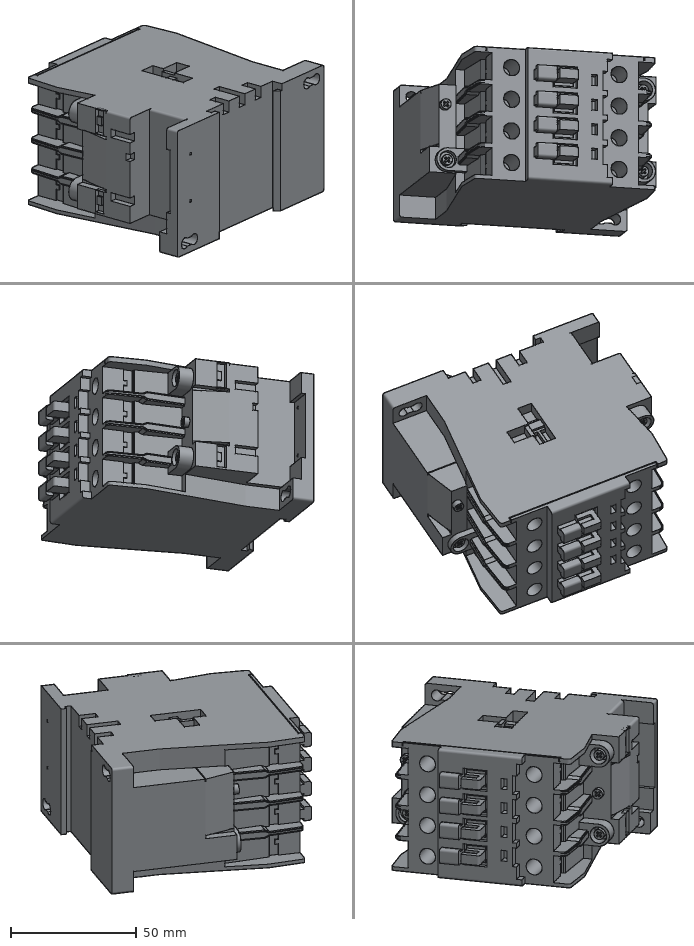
import cadquery as cq


depth = 93.8
half_width = 47.2
half_height = 27.0

panel_front = 5.9
body_front = 10.0
apex_x = 25.7
upper_block_front = 41.7
lower_block_front = 43.1
lower_block_back = 69.9
foot_front = 84.9
foot_step = 88.5
foot_recess = 90.2
rail_floor = 89.1
rail_lip = 91.6

front_half_width = 37.4
apex_half_width = 38.4
waist_half_width = 32.2
upper_waist_x = 69.3
lower_waist_x = 70.6
front_corner_round = 1.2

split_z = 18.0
edge_round = 1.0

pole_pitch = 12.9
pole_centre_z = -0.24
terminal_zs = [pole_centre_z + (i - 1.5) * pole_pitch for i in range(4)]
divider_zs = [pole_centre_z + (i - 1) * pole_pitch for i in range(3)]
terminal_y = 22.3
terminal_radius = 3.3
terminal_depth = 14.2
nose_half_width = 30.4
wall_half_width = 32.4
chamber_top = 24.8
chamber_bottom = -25.4


def box(x0, x1, y0, y1, z0, z1):
    return cq.Workplane("XY").box(x1 - x0, y1 - y0, z1 - z0, centered=False).translate((x0, y0, z0))


def rod(x0, x1, y, z, radius):
    return cq.Workplane("YZ", origin=(x0, y, z)).circle(radius).extrude(x1 - x0)


def mirrored_box(side, x0, x1, y0, y1, z0, z1):
    """Box at y0..y1 from the centre plane, on the side given by +1 or -1."""
    low, high = sorted((side * y0, side * y1))
    return box(x0, x1, low, high, z0, z1)


def prism(points, z0=-half_height, z1=half_height):
    return cq.Workplane("XY", origin=(0, 0, z0)).polyline(points).close().extrude(z1 - z0)


def outline_prism(upper, lower, corner_round):
    """Prism from the +Y outline to the mirrored lower outline, with rounded front corners."""
    points = upper + [(x, -y) for x, y in reversed(lower)]
    return prism(points).edges("|Z and <X").fillet(corner_round)


def main_body():
    front = [(body_front, front_half_width), (apex_x, apex_half_width)]
    back = (foot_front, waist_half_width)
    upper = front + [(upper_waist_x, waist_half_width), back]
    lower = front + [(lower_waist_x, waist_half_width), back]
    return outline_prism(upper, lower, front_corner_round)


fin_setback = 1.4
fin_back_half_width = 36.0
fin_shoulder = 0.6
fin_rim_inset = 0.52
fin_thin_half = 0.9
fin_thick_half = 1.8
fin_taper_start = 24.8
fin_taper_end = 26.6
fin_corner_round = 1.9


def fin_blank(shoulder, inset):
    """Fin that widens towards the back, pulled in by shoulder and thinned by inset on each face."""
    side = [
        (body_front, fin_thin_half - inset),
        (fin_taper_start, fin_thin_half - inset),
        (fin_taper_end, fin_thick_half - inset),
        (lower_block_front, fin_thick_half - inset),
    ]
    points = side + [(x, -z) for x, z in reversed(side)]
    blank = cq.Workplane("XZ", origin=(0, half_width, 0)).polyline(points).close().extrude(2 * half_width)
    outline = [
        (body_front, front_half_width - fin_setback - shoulder),
        (apex_x, apex_half_width - fin_setback - shoulder),
        (lower_block_front, fin_back_half_width - shoulder),
    ]
    return blank.intersect(outline_prism(outline, outline, fin_corner_round))


def divider_fins():
    fin = fin_blank(fin_shoulder, 0).union(fin_blank(0, fin_rim_inset))
    fins = fin.translate((0, 0, divider_zs[0]))
    for z in divider_zs[1:]:
        fins = fins.union(fin.translate((0, 0, z)))
    return fins


gap_front = 19.0
gap_back = 22.8
gap_half_width = 29.6
gap_tab_length = 1.5
gap_tab_width = 2.0
rear_wall_front = 23.2
rear_wall_half_width = 31.15


def terminal_chambers(side):
    """Space outside the chamber walls, on the +Y (1) or -Y (-1) side."""
    wall = [
        (body_front, nose_half_width),
        (gap_front, nose_half_width),
        (gap_front, gap_half_width),
        (gap_back, gap_half_width),
        (gap_back, nose_half_width),
        (rear_wall_front, nose_half_width),
        (rear_wall_front, rear_wall_half_width),
        (lower_block_front, wall_half_width),
        (lower_block_front, half_width),
        (body_front, half_width),
    ]
    space = prism([(x, side * y) for x, y in wall], chamber_bottom, chamber_top)
    for z in terminal_zs:
        space = space.cut(
            mirrored_box(
                side, gap_front, gap_front + gap_tab_length, gap_half_width, nose_half_width,
                z - gap_tab_width / 2, z + gap_tab_width / 2,
            )
        )
    return space


def ramp(side, front, back, inner_y, z0, z1):
    """Wedge behind a panel that leans from inner_y at the front out to the side face."""
    points = [(front, side * inner_y), (back, side * half_width), (back, side * inner_y)]
    return prism(points, z0, z1)


upper_block_root = 36.2
upper_ramp_back = 54.7
upper_ramp_y = 43.2
upper_ramp_bottom = -6.2
upper_frame_bottom = -7.55
upper_seam_width = 0.4
upper_seam_depth = 0.9


def upper_block():
    block = box(lower_block_front, foot_front, 0, half_width, -split_z, split_z)
    block = block.union(
        box(upper_block_front, lower_block_front, upper_block_root, half_width, -split_z, split_z)
    )
    block = block.cut(
        box(upper_block_front, upper_ramp_back, upper_ramp_y, half_width, upper_frame_bottom, split_z)
    )
    block = block.union(
        ramp(1, upper_block_front, upper_ramp_back, upper_ramp_y, upper_ramp_bottom, split_z)
    )
    return block.cut(
        box(
            upper_ramp_back, upper_ramp_back + upper_seam_width, 0, half_width,
            split_z - upper_seam_depth, split_z,
        )
    )


lower_ramp_back = 57.7
lower_ramp_y = 43.9
lower_ramp_top = 14.8
lower_ramp_bottom = -6.5
lower_frame_border = 1.2
notch_wall_y = -34.8
side_slot_front = 52.4
side_slot_back = 56.4
side_slot_depth = 1.9
side_slots = [(16.3, 26.6), (-17.2, -7.9)]
clip_length = 2.3
clip_height = 3.6
vent_depth = 2.8
side_vents = [(60.2, 16.3, 19.9), (60.2, -10.8, -7.2), (67.8, 8.4, 11.3)]


def lower_block():
    block = box(lower_block_front, lower_ramp_back, -half_width, 0, -split_z, half_height)
    rear = box(lower_ramp_back, lower_block_back, -half_width, 0, -split_z, half_height)
    block = block.union(rear.edges("|X and >Z and <Y").fillet(edge_round))
    block = block.cut(
        box(
            lower_block_front, lower_ramp_back, -half_width, -lower_ramp_y,
            lower_ramp_bottom - lower_frame_border, lower_ramp_top + lower_frame_border,
        )
    )
    block = block.union(
        ramp(-1, lower_block_front, lower_ramp_back, lower_ramp_y, lower_ramp_bottom, lower_ramp_top)
    )
    for z0, z1 in side_slots:
        block = block.cut(
            box(side_slot_front, side_slot_back, -half_width, -half_width + side_slot_depth, z0, z1)
        )
        clip_z = (z0 + z1) / 2
        block = block.union(
            box(
                side_slot_front, side_slot_front + clip_length,
                -half_width + side_slot_depth / 2, -half_width + side_slot_depth,
                clip_z - clip_height / 2, clip_z + clip_height / 2,
            )
        )
    for x0, z0, z1 in side_vents:
        block = block.cut(box(x0, lower_block_back, -half_width, -half_width + vent_depth, z0, z1))
    waist = box(lower_block_front, foot_step, notch_wall_y, 0, -split_z, half_height)
    return block.union(waist.edges("|X and >Z and <Y").fillet(edge_round))


recess_bottom = -9.0
keyhole_z = 22.3
keyhole_radius = 2.3
keyhole_neck = 1.7
keyhole_ys = (36.4, 42.2)
pin_hole_y = -38.6
pin_hole_zs = (14.8, -5.3)
pin_hole_radius = 0.6


def keyhole(side):
    inner, outer = keyhole_ys
    hole = mirrored_box(
        side, foot_front, depth, inner, outer,
        side * keyhole_z - keyhole_neck, side * keyhole_z + keyhole_neck,
    )
    for y in keyhole_ys:
        hole = hole.union(rod(foot_front, depth, side * y, side * keyhole_z, keyhole_radius))
    return hole


def mounting_base():
    base = box(foot_front, depth, -half_width, half_width, -half_height, half_height)
    base = base.edges("|X").fillet(edge_round)
    base = base.cut(box(foot_front, foot_step, -half_width, notch_wall_y + edge_round, -split_z, half_height))
    base = base.cut(box(foot_step, foot_recess, -half_width, notch_wall_y, recess_bottom, split_z))
    for z in pin_hole_zs:
        base = base.cut(rod(foot_recess, depth, pin_hole_y, z, pin_hole_radius))
    for side in (1, -1):
        base = base.cut(keyhole(side))
    return base


rail_top_y = 20.1
rail_hook_y = 17.3
rail_hook_tip_y = 19.1
rail_bottom_y = -22.4
rail_lip_y = -20.2
rail_hook_drop = 2.8


def rail_channel():
    channel = prism([
        (rail_floor, rail_top_y),
        (rail_lip, rail_top_y),
        (rail_lip, rail_hook_y),
        (depth, rail_hook_tip_y),
        (depth, rail_lip_y),
        (rail_lip, rail_lip_y),
        (rail_lip, rail_bottom_y),
        (rail_floor, rail_bottom_y),
    ])
    return channel.union(
        box(rail_lip, depth, rail_hook_y, rail_top_y, half_height - rail_hook_drop, half_height)
    )


rail_grooves = [(82.3, 9.1, 12.65), (76.2, -1.2, 2.3), (82.3, -11.6, -8.0)]
rail_groove_depth = 4.7

pocket_x = (41.0, 62.0)
pocket_y = (-3.0, 3.0)
strip_x = (41.0, 46.35)
strip_top_y = 4.1
side_arm_x = (46.35, 52.8)
side_arm_top_y = 12.65
ridge_top_y = 4.8
latch_x = (49.6, 54.8)
latch_cap_x = (50.6, 54.2)
sill_end_x = 56.0
guide_x = (42.0, 49.6)
guide_half_width = 0.6
pocket_floor = half_height - 4.7
ridge_top = half_height - 0.9
latch_top = half_height - 2.8
latch_cap_top = half_height - 1.9
sill_top = half_height - 3.3


def top_pocket():
    pocket = box(*pocket_x, *pocket_y, pocket_floor, half_height)
    pocket = pocket.union(box(*strip_x, pocket_y[1], strip_top_y, pocket_floor, half_height))
    pocket = pocket.union(box(*side_arm_x, pocket_y[1], side_arm_top_y, pocket_floor, half_height))
    ridge = box(*side_arm_x, pocket_y[1], ridge_top_y, pocket_floor, ridge_top)
    latch = box(*latch_x, *pocket_y, pocket_floor, latch_top)
    latch = latch.union(box(*latch_cap_x, *pocket_y, pocket_floor, latch_cap_top))
    sill = box(latch_x[1], sill_end_x, *pocket_y, pocket_floor, sill_top)
    guide = box(*guide_x, -guide_half_width, guide_half_width, pocket_floor, latch_top)
    return pocket.cut(ridge).cut(latch).cut(sill).cut(guide)


panel_top_y = 16.6
panel_end_y = -18.4
panel_tab_y = -16.2
panel_notch_y = -14.4
panel_end_bar = 2.8
window_zs = (15.3, 5.2, -4.8, -14.8)
window_height = 4.4
window_y = (-12.2, -9.8)
window_depth = 3.8
panel_notches = [(11.3, 19.2), (1.3, 9.2), (-9.0, -0.85), (-19.0, -11.1)]


def front_panel():
    panel = box(panel_front, body_front, panel_end_y, panel_top_y, -half_height, half_height)
    panel = panel.edges("|Y and <X").fillet(edge_round)
    bar_z = half_height - panel_end_bar
    panel = panel.cut(box(panel_front, body_front, panel_end_y, panel_tab_y, -bar_z, bar_z))
    for z0, z1 in panel_notches:
        panel = panel.cut(box(panel_front, body_front, panel_tab_y, panel_notch_y, z0, z1))
    for z in window_zs:
        panel = panel.cut(
            box(
                panel_front, panel_front + window_depth, *window_y,
                z - window_height / 2, z + window_height / 2,
            )
        )
    return panel


button_zs = (15.9, 5.2, -5.2, -15.9)
head_half = 3.0
stem_half = 2.0
head_depth = 3.3
button_round = 1.0
fixed_y = (6.2, 14.2)
slide_y = (-2.7, 5.2)
slot_x = (2.8, 5.7)
slot_end_y = -0.6
slot_depth = 1.1
well_border = 1.0
well_half = 4.3
well_depth = 1.9
well_step_depth = 0.4


def button_well(z):
    """Rectangular well around the slide, with a slightly deeper middle."""
    y0, y1 = slide_y
    floor = panel_front + well_depth
    inner_half = well_half - well_border
    outer = box(panel_front, floor, y0 - well_border, y1 + well_border, z - well_half, z + well_half)
    return outer.union(box(floor, floor + well_step_depth, y0, y1, z - inner_half, z + inner_half))


def button_pair(z):
    fixed = box(0, head_depth, *fixed_y, -head_half, head_half)
    fixed = fixed.edges("|Y and <X").fillet(button_round)
    fixed = fixed.union(box(head_depth, panel_front, *fixed_y, -stem_half, stem_half))
    slide = box(0, body_front, *slide_y, -stem_half, stem_half)
    slide = slide.edges("|Z and <X and <Y").fillet(button_round)
    slide = slide.cut(box(*slot_x, slot_end_y, slide_y[1], stem_half - slot_depth, stem_half))
    return fixed.union(slide).translate((0, 0, z))


boss_radius = 4.6
boss_bore = 3.4
screw_sink = 0.9
screw_radius = 2.1
cross_length = 2.5
cross_width = 0.7
cross_depth = 0.8
bosses = [
    (39.2, upper_block_front, 40.2, -12.9),
    (37.1, lower_block_front, -40.5, 20.2),
    (37.1, lower_block_front, -40.5, -13.0),
]
screws = [
    (39.4, upper_block_front, 41.0, 9.6),
    (41.0, lower_block_front, -38.9, 2.8),
]


def screw(x0, x1, y, z):
    """Screw with a cross recess turned by 45 degrees."""
    head = rod(x0, x1, 0, 0, screw_radius)
    a = cross_length / 2
    b = cross_width / 2
    head = head.cut(box(x0, x0 + cross_depth, -a, a, -b, b))
    head = head.cut(box(x0, x0 + cross_depth, -b, b, -a, a))
    return head.rotate((0, 0, 0), (1, 0, 0), 45).translate((0, y, z))


def boss(x0, x1, y, z):
    root = wall_half_width if y > 0 else -wall_half_width
    post = rod(x0, x1, y, z, boss_radius)
    post = post.union(box(x0, x1, min(y, root), max(y, root), z - boss_radius, z + boss_radius))
    post = post.cut(rod(x0, x1, y, z, boss_bore))
    return post.union(screw(x0 + screw_sink, x1, y, z))


insert_groove_x = 11.2
insert_groove_width = 0.4
insert_groove_depth = 1.4
insert_half_width = 32.9


def insert_groove():
    back = insert_groove_x + insert_groove_width
    inside = insert_half_width - insert_groove_width
    floor = half_height - insert_groove_depth
    outer = box(body_front, back, -insert_half_width, insert_half_width, floor, half_height)
    return outer.cut(box(body_front, insert_groove_x, -inside, inside, floor, half_height))


result = main_body()
for side in (1, -1):
    result = result.cut(terminal_chambers(side))
result = result.union(upper_block()).union(lower_block()).union(mounting_base()).union(divider_fins())

result = result.cut(rail_channel())
for x0, y0, y1 in rail_grooves:
    result = result.cut(box(x0, rail_floor, y0, y1, half_height - rail_groove_depth, half_height))
result = result.cut(top_pocket()).cut(insert_groove())

for y in (terminal_y, -terminal_y):
    for z in terminal_zs:
        result = result.cut(rod(body_front, body_front + terminal_depth, y, z, terminal_radius))

result = result.union(front_panel())
for z in button_zs:
    result = result.cut(button_well(z)).union(button_pair(z))
for place in bosses:
    result = result.union(boss(*place))
for place in screws:
    result = result.union(screw(*place))